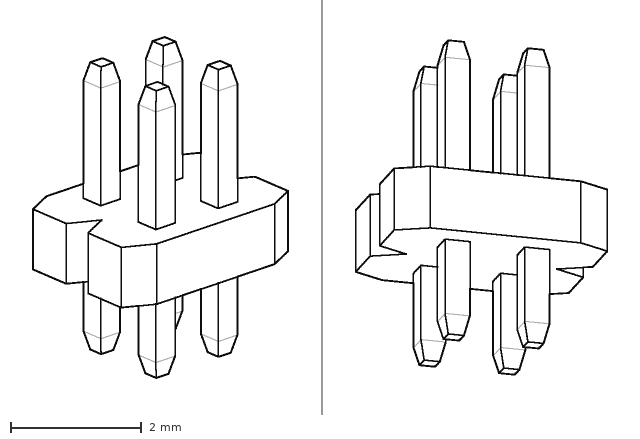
import cadquery as cq

columns = 2
rows = 2
body_length_x = 2.54
body_length_y = 3.4
total_height = 4.75
pitch = body_length_x / columns

body_height = 0.998
bevel_x = 0.25
bevel_y = 0.5

pin_width = 0.4
tip_width = 0.25
tip_length = 0.305
pin_below_body = 1.5
pin_bottom = -pin_below_body


def make_body():
    """Extrude the body; bevels at each column edge form the corners and V notches."""
    half_y = body_length_y / 2
    front_edge = []
    for column in range(columns):
        left = -body_length_x / 2 + column * pitch
        front_edge += [
            (left, -half_y + bevel_y),
            (left + bevel_x, -half_y),
            (left + pitch - bevel_x, -half_y),
        ]
    front_edge.append((body_length_x / 2, -half_y + bevel_y))
    back_edge = [(x, -y) for x, y in reversed(front_edge)]
    return cq.Workplane("XY").polyline(front_edge + back_edge).close().extrude(body_height)


def make_tip(base_z, direction):
    """Taper from the full pin width at base_z; direction is +1 for up, -1 for down."""
    return (
        cq.Workplane("XY", origin=(0, 0, base_z))
        .rect(pin_width, pin_width)
        .workplane(offset=direction * tip_length)
        .rect(tip_width, tip_width)
        .loft(ruled=True)
    )


def make_pin():
    """Build one pin on the Z axis, tapered at both ends."""
    shank_bottom = pin_bottom + tip_length
    shank_length = total_height - 2 * tip_length
    shank = (
        cq.Workplane("XY", origin=(0, 0, shank_bottom))
        .rect(pin_width, pin_width)
        .extrude(shank_length)
    )
    lower_tip = make_tip(shank_bottom, -1)
    upper_tip = make_tip(shank_bottom + shank_length, 1)
    return shank.union(lower_tip).union(upper_tip)


result = make_body()
pin = make_pin()
for column in range(columns):
    for row in range(rows):
        pin_x = (column - (columns - 1) / 2) * pitch
        pin_y = (row - (rows - 1) / 2) * pitch
        result = result.union(pin.translate((pin_x, pin_y, 0)))